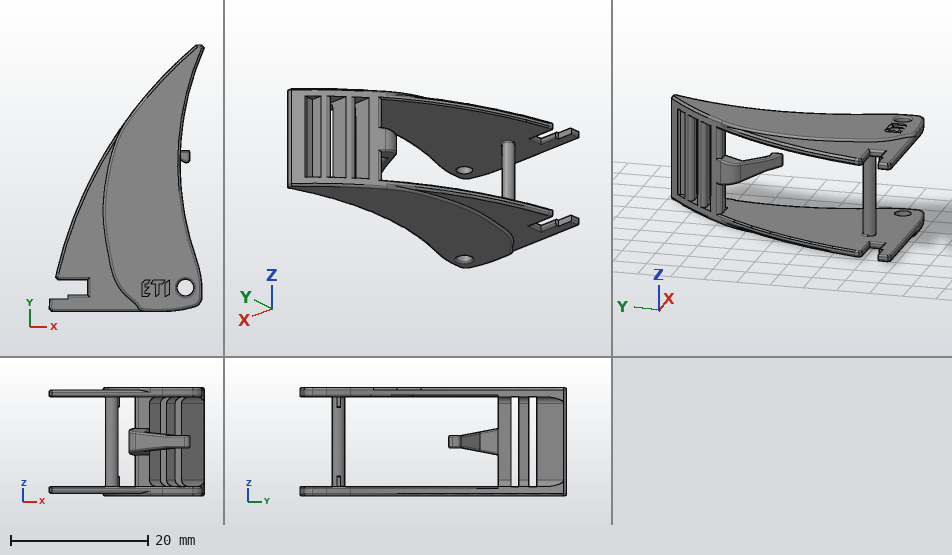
import cadquery as cq
import math

TOTAL_HEIGHT = 15.8
CHEEK_THICKNESS = 1.35
PLATE_THICKNESS = 1.0
OUTER_ROUND = 0.35
INNER_ROUND = 0.25

HALF_HEIGHT = TOTAL_HEIGHT / 2
INNER_Z = HALF_HEIGHT - CHEEK_THICKNESS

BACK_X = 61.45
BACK_Y = -8.58
BACK_RADIUS = 62.05
BACK_LOW_Y = 5.65

FRONT_X = 60.65
FRONT_Y = 21.5
FRONT_RADIUS = 41.58

HEEL_START = (16.5, 0)
HEEL_SOLE_END = (20.92, 0.62)
HEEL_CORNER_MIDDLE = (21.9, 1.15)
HEEL_X = 22.25
HEEL_LOW_Y = 1.85
HEEL_HIGH_Y = 3.9
HEEL_BLEND_MIDDLE = (21.97, 5.8)
FRONT_LOW_Y = 7.38

TIP_Y = 38.82
TIP_END = (22.6, 38.4)
TIP_CORNER = (22.15, TIP_Y)

NOTCH_TOP = 4.62
NOTCH_CORNER = [(0.95, 4.95), (1.3, NOTCH_TOP)]
NOTCH_DEPTH_X = 5.6
NOTCH_BOTTOM = 2.45
LEDGE_X = 2.7
LEDGE_TOP = 1.85
LIP_LEAN = 0.1
LIP_CORNER = 0.4

HORN_START_Y = 28.7
HORN_SWEEP = [(10.1, 25.78), (8.5, 20.57), (7.85, 13.98), (8.6, 8.15), (11.0, 2.5), (12.9, 0.7)]
HORN_END = (14.75, 0.0)

WALL_END_Y = 28.85
WALL_INNER_START = (14.6, WALL_END_Y)
WALL_INNER_FILLET = 0.97
WALL_EDGE_RADIUS = 0.5
SLOTS = [(30.75, 31.85), (33.3, 34.45)]
TIP_SLOT = (35.95, 36.75)
TIP_SLOT_FLOOR_X = 19.95

PIVOT = (19.85, 3.5)
PIVOT_DIAMETER = 2.4
PIVOT_ROUND = 0.27

ROD = (9.12, 5.63)
ROD_DIAMETER = 1.85
ROD_FILLET = 0.2
ROD_RIB_REACH = 0.2
ROD_RIB_LENGTH = 1.6
ROD_RIB_WIDTH = 0.5

LATCH_KNEE_Y = 27.1
LATCH_KNEE_RADIUS = 1.98
LATCH_TOE = (20.5, 21.25)
LATCH_TIP_TOP = 23.45
LATCH_THROAT = (19.15, LATCH_TIP_TOP)
LATCH_INNER_BEND = (14.2, 26.25)
LATCH_ROOT_HALF_WIDTH = 1.95
LATCH_TIP_HALF_WIDTH = 0.95
LATCH_TAPER_END_Y = 23.55
LATCH_ROUND = 0.27
LATCH_TIP_ROUND = 0.3
LATCH_TOE_ROUND = 0.55

INLAY_DEPTH = 0.25
LETTERS = {
    "E": [(13.5, 2.17), (13.5, 4.15), (13.98, 4.62), (14.67, 4.62), (14.32, 4.05), (13.98, 4.05), (13.98, 3.57),
          (14.5, 3.57), (13.98, 2.95), (13.98, 2.65), (14.67, 2.65), (14.32, 2.17)],
    "T": [(14.8, 4.05), (15.18, 4.62), (16.9, 4.62), (16.5, 4.05), (15.95, 4.05), (15.95, 2.52), (15.5, 2.17),
          (15.5, 4.05)],
    "I": [(16.9, 2.17), (16.9, 4.15), (17.5, 4.6), (17.5, 2.52)],
}

CLEARANCE = 3.9
PICK_SIZE = 0.08


def back_point(y):
    """Point of the convex back arc at a given Y."""
    return (BACK_X - math.sqrt(BACK_RADIUS**2 - (y - BACK_Y) ** 2), y)


def front_point(y):
    """Point of the concave front arc at a given Y."""
    return (FRONT_X - math.sqrt(FRONT_RADIUS**2 - (y - FRONT_Y) ** 2), y)


def prism(sketch, z_low, z_high):
    """Closed XY outline extruded between two heights."""
    return sketch.extrude(z_high - z_low).translate((0, 0, z_low))


def around(point, size, z):
    """Selector for edges centred in a small box about an XY point at height z."""
    half = size / 2
    return cq.selectors.BoxSelector(
        (point[0] - half, point[1] - half, z - half), (point[0] + half, point[1] + half, z + half)
    )


def add_front_edge(outline):
    """Continue an outline from the heel's start up the heel and the front arc to the back arc."""
    front_start = front_point(FRONT_LOW_Y)
    front_middle = front_point((FRONT_LOW_Y + TIP_Y) / 2)
    return (
        outline.lineTo(*HEEL_START)
        .tangentArcPoint(HEEL_SOLE_END, relative=False)
        .threePointArc(HEEL_CORNER_MIDDLE, (HEEL_X, HEEL_LOW_Y))
        .lineTo(HEEL_X, HEEL_HIGH_Y)
        .threePointArc(HEEL_BLEND_MIDDLE, front_start)
        .threePointArc(front_middle, TIP_END)
        .lineTo(*TIP_CORNER)
        .lineTo(*back_point(TIP_Y))
    )


def plate_outline():
    """Whole cheek outline, with the notch but before its lip is cut down."""
    return (
        add_front_edge(cq.Workplane("XY").moveTo(LIP_CORNER, 0))
        .threePointArc(back_point((BACK_LOW_Y + TIP_Y) / 2), back_point(BACK_LOW_Y))
        .lineTo(*NOTCH_CORNER[0])
        .lineTo(*NOTCH_CORNER[1])
        .lineTo(NOTCH_DEPTH_X, NOTCH_TOP)
        .lineTo(NOTCH_DEPTH_X, NOTCH_BOTTOM)
        .lineTo(LIP_LEAN, NOTCH_BOTTOM)
        .lineTo(0, LIP_CORNER)
        .close()
    )


def horn_outline():
    """Thick part of a cheek, bulging away from the back arc towards the bottom edge."""
    start = back_point(HORN_START_Y)
    along_back = (BACK_Y - start[1], start[0] - BACK_X)
    return (
        add_front_edge(cq.Workplane("XY").moveTo(*HORN_END))
        .threePointArc(back_point((HORN_START_Y + TIP_Y) / 2), start)
        .spline(HORN_SWEEP + [HORN_END], tangents=[along_back, (1, 0)], includeCurrent=True)
        .close()
    )


def build_cheek():
    """Upper cheek: a thin plate with the thicker horn on it and the pivot hole."""
    plate = prism(plate_outline(), INNER_Z, INNER_Z + PLATE_THICKNESS)
    plate = plate.faces(">Z").edges().fillet(OUTER_ROUND)
    plate = plate.faces("<Z").edges().fillet(INNER_ROUND)
    lip_waste = cq.Workplane("XY").box(
        LEDGE_X, NOTCH_BOTTOM - LEDGE_TOP, HALF_HEIGHT, centered=False
    )
    plate = plate.cut(lip_waste.translate((0, LEDGE_TOP, INNER_Z - INNER_ROUND)))
    horn = prism(horn_outline(), INNER_Z + INNER_ROUND, HALF_HEIGHT)
    horn = horn.faces(">Z").edges().fillet(OUTER_ROUND)
    cheek = plate.union(horn)
    hole = cq.Workplane("XY").center(*PIVOT).circle(PIVOT_DIAMETER / 2).extrude(HALF_HEIGHT)
    cheek = cheek.cut(hole)
    rim = around(PIVOT, PIVOT_DIAMETER, HALF_HEIGHT)
    return cheek.edges(rim).fillet(PIVOT_ROUND)


def edge_slot(lower_y, upper_y, end_x, half_length=INNER_Z):
    """Cutter for a slot along +X whose upper face meets the back arc in a rounded edge."""
    centre_y = upper_y + WALL_EDGE_RADIUS
    reach = BACK_RADIUS - WALL_EDGE_RADIUS
    centre_x = BACK_X - math.sqrt(reach**2 - (centre_y - BACK_Y) ** 2)
    scale = BACK_RADIUS / reach
    tangent = (BACK_X + (centre_x - BACK_X) * scale, BACK_Y + (centre_y - BACK_Y) * scale)
    outside_x = back_point(lower_y)[0] - CLEARANCE
    outline = (
        cq.Workplane("XY")
        .moveTo(*tangent)
        .threePointArc((centre_x - WALL_EDGE_RADIUS, centre_y), (centre_x, upper_y))
        .lineTo(end_x, upper_y)
        .lineTo(end_x, lower_y)
        .lineTo(outside_x, lower_y)
        .lineTo(outside_x, tangent[1])
        .close()
    )
    return prism(outline, -half_length, half_length)


def build_wall():
    """Rear wall between the cheeks, with two through slots and a blind one near the tip."""
    wall_half = INNER_Z + PLATE_THICKNESS / 2
    wall = prism(plate_outline(), -wall_half, wall_half)

    run_x = TIP_END[0] - WALL_INNER_START[0]
    run_y = TIP_END[1] - WALL_INNER_START[1]
    far_end = (TIP_END[0] + run_x, TIP_END[1] + run_y)
    near_end = (WALL_INNER_START[0] - run_x, WALL_INNER_START[1] - run_y)
    room_outline = cq.Workplane("XY").polyline([near_end, far_end, (far_end[0], near_end[1])]).close()
    room = prism(room_outline, -INNER_Z, INNER_Z)
    slanted = room.edges("not(|X or |Y or |Z)")
    wall = wall.cut(slanted.fillet(WALL_INNER_FILLET))

    through_x = TIP_END[0] + CLEARANCE
    below = cq.Workplane("XY").box(through_x, WALL_END_Y, TOTAL_HEIGHT, centered=(False, False, True))
    wall = wall.cut(below)
    wall = wall.cut(edge_slot(0, WALL_END_Y, through_x, INNER_Z + INNER_ROUND))
    for lower_y, upper_y in SLOTS:
        wall = wall.cut(edge_slot(lower_y, upper_y, through_x))
    floor = cq.Workplane("XY").box(through_x, TIP_Y, TOTAL_HEIGHT, centered=(False, False, True))
    tip_slot = edge_slot(*TIP_SLOT, through_x).cut(floor.translate((TIP_SLOT_FLOOR_X, 0, 0)))
    return wall.cut(tip_slot)


def build_latch():
    """Hooked latch at the middle of the wall's end, tapering towards its tip."""
    root_y = SLOTS[0][0]
    knee = back_point(LATCH_KNEE_Y)
    tip = (LATCH_TOE[0], LATCH_TIP_TOP)
    side = (
        cq.Workplane("XY")
        .moveTo(*back_point(root_y))
        .threePointArc(back_point((root_y + LATCH_KNEE_Y) / 2), knee)
        .lineTo(*LATCH_TOE)
        .lineTo(*tip)
        .lineTo(*LATCH_THROAT)
        .lineTo(*LATCH_INNER_BEND)
        .lineTo(*WALL_INNER_START)
        .lineTo(WALL_INNER_START[0], root_y)
        .close()
    )
    hook = prism(side, -INNER_Z, INNER_Z)
    hook = hook.edges(around(knee, PICK_SIZE, 0)).fillet(LATCH_KNEE_RADIUS)
    hook = hook.edges(around(LATCH_TOE, PICK_SIZE, 0)).fillet(LATCH_TOE_ROUND)
    hook = hook.edges(around(tip, PICK_SIZE, 0)).fillet(LATCH_TIP_ROUND)
    slope = (LATCH_ROOT_HALF_WIDTH - LATCH_TIP_HALF_WIDTH) / (WALL_END_Y - LATCH_TAPER_END_Y)
    top_half_width = LATCH_TIP_HALF_WIDTH + slope * (root_y - LATCH_TAPER_END_Y)
    taper = (
        cq.Workplane("YZ")
        .polyline([
            (root_y, -top_half_width),
            (root_y, top_half_width),
            (LATCH_TAPER_END_Y, LATCH_TIP_HALF_WIDTH),
            (0, LATCH_TIP_HALF_WIDTH),
            (0, -LATCH_TIP_HALF_WIDTH),
            (LATCH_TAPER_END_Y, -LATCH_TIP_HALF_WIDTH),
        ])
        .close()
        .extrude(TIP_END[0])
    )
    latch = hook.intersect(taper)
    buried_root = cq.selectors.BoxSelector(
        (0, root_y - PICK_SIZE / 2, -HALF_HEIGHT), (TIP_END[0], root_y + PICK_SIZE / 2, HALF_HEIGHT)
    )
    taper_end_lines = cq.selectors.BoxSelector(
        (0, LATCH_TAPER_END_Y - PICK_SIZE / 2, -HALF_HEIGHT),
        (LATCH_THROAT[0] - 2 * PICK_SIZE, LATCH_TAPER_END_Y + PICK_SIZE / 2, HALF_HEIGHT),
    )
    side_edges = cq.selectors.StringSyntaxSelector("not(|Z)") - buried_root - taper_end_lines
    return latch.edges(side_edges).fillet(LATCH_ROUND)


def build_rod():
    """Cross rod, flared into the cheeks on its +Y half, with a short +X rib at each end."""
    radius = ROD_DIAMETER / 2
    rod = cq.Workplane("XY").circle(radius).extrude(INNER_Z, both=True)
    flare_z = INNER_Z - ROD_FILLET
    bulge = ROD_FILLET * (1 - math.sqrt(0.5))
    flare = (
        cq.Workplane("XZ")
        .moveTo(0, INNER_Z)
        .lineTo(radius + ROD_FILLET, INNER_Z)
        .threePointArc((radius + bulge, INNER_Z - bulge), (radius, flare_z))
        .lineTo(0, flare_z)
        .close()
        .revolve(180, (0, 0), (0, 1))
    )
    rib_x = radius + ROD_RIB_REACH
    rib_end_z = INNER_Z - ROD_RIB_LENGTH
    rib = (
        cq.Workplane("XZ")
        .polyline([
            (0, INNER_Z),
            (rib_x, INNER_Z),
            (rib_x, rib_end_z + ROD_RIB_REACH),
            (radius, rib_end_z),
            (0, rib_end_z),
        ])
        .close()
        .extrude(ROD_RIB_WIDTH / 2, both=True)
    )
    for end in (flare, rib):
        rod = rod.union(end).union(end.mirror("XY"))
    return rod.translate((*ROD, 0))


def build_letter_inlays():
    """Separate letters, each filling a recess in the upper cheek flush with its face."""
    return [
        prism(cq.Workplane("XY").polyline(points).close(), HALF_HEIGHT - INLAY_DEPTH, HALF_HEIGHT)
        for points in LETTERS.values()
    ]


cheek = build_cheek()
housing = cheek.union(cheek.mirror("XY")).union(build_wall()).union(build_latch()).union(build_rod())
letters = build_letter_inlays()
for letter in letters:
    housing = housing.cut(letter)

result = cq.Compound.makeCompound([housing.val(), *[letter.val() for letter in letters]])